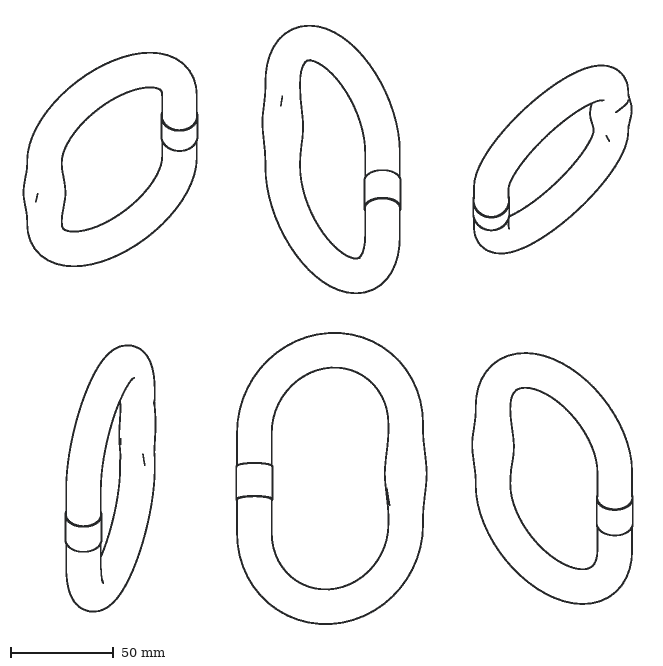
import cadquery as cq

overall_height = 143.8
wire_diameter = 17.0
straight_length = 49.9

wire_radius = wire_diameter / 2
half_straight = straight_length / 2
bend_radius = overall_height / 2 - half_straight - wire_radius

collar_diameter = 17.7
collar_length = 16.7
collar_chamfer = 0.3

barrel_diameter = 20.5
barrel_length = 44.9
flat_distance = 7.2
flat_length = 33.4
ramp_length = 2.5
ramp_rise = 0.9
ramp_blend = 3.7
rim_fillet = 3.6


def make_loop():
    """Closed racetrack of round wire, from two straight legs and two half tori."""
    path = (
        cq.Workplane("YZ")
        .moveTo(bend_radius, 0)
        .lineTo(bend_radius, half_straight)
        .threePointArc((0, half_straight + bend_radius), (-bend_radius, half_straight))
        .lineTo(-bend_radius, -half_straight)
        .threePointArc((0, -half_straight - bend_radius), (bend_radius, -half_straight))
        .close()
    )
    return cq.Workplane("XY").center(0, bend_radius).circle(wire_radius).sweep(path)


def make_collar():
    """Short cylinder around the +Y leg with chamfered ends."""
    return (
        cq.Workplane("XY")
        .center(0, bend_radius)
        .circle(collar_diameter / 2)
        .extrude(collar_length / 2, both=True)
        .edges("%CIRCLE")
        .chamfer(collar_chamfer)
    )


def make_barrel():
    """Body of revolution about Z that swells smoothly from the wire to the barrel diameter."""
    half_length = barrel_length / 2
    return (
        cq.Workplane("XZ")
        .moveTo(0, -half_length)
        .lineTo(wire_radius, -half_length)
        .spline(
            [(barrel_diameter / 2, 0), (wire_radius, half_length)],
            tangents=[(0, 1), (0, 1)],
            includeCurrent=True,
        )
        .lineTo(0, half_length)
        .close()
        .revolve(360, (0, 0), (0, 1))
    )


def make_recess_cutter():
    """Prism along Y whose inner side is the flat with a ramp at each end."""
    half_flat = flat_length / 2
    outer_x = barrel_diameter / 2
    outer_z = half_flat + (outer_x - flat_distance) * ramp_length / ramp_rise
    return (
        cq.Workplane("XZ")
        .polyline([
            (outer_x, -outer_z),
            (flat_distance, -half_flat),
            (flat_distance, half_flat),
            (outer_x, outer_z),
        ])
        .close()
        .extrude(barrel_diameter, both=True)
        .edges("|Y")
        .edges("<X")
        .fillet(ramp_blend)
    )


def cut_recesses(link):
    """Cut both recesses across the -Y leg and round their rims."""
    cutter = make_recess_cutter().translate((0, -bend_radius, 0))
    recessed = link.cut(cutter).cut(cutter.mirror("YZ"))
    return recessed.edges("%BSPLINE").fillet(rim_fillet)


barrel = make_barrel().translate((0, -bend_radius, 0))
link = make_loop().union(make_collar()).union(barrel)
result = cut_recesses(link)